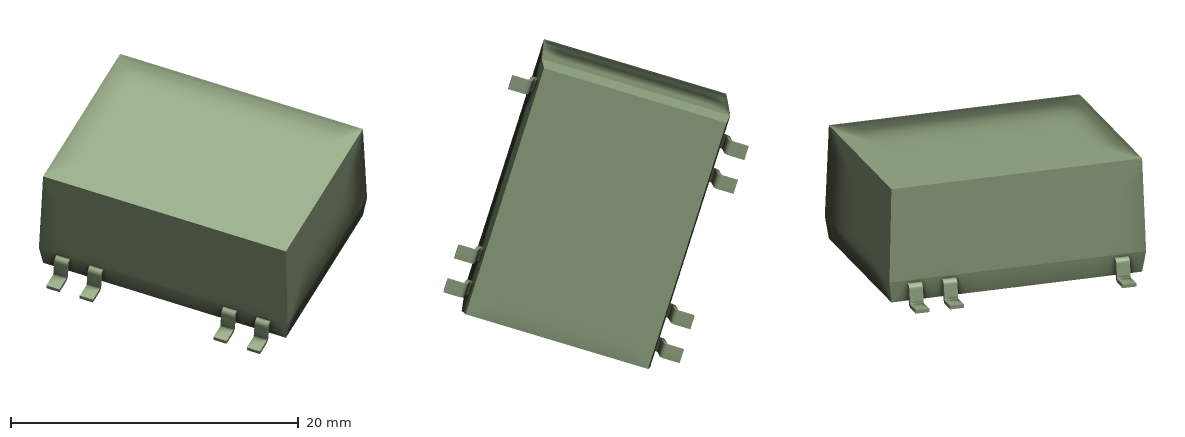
import cadquery as cq
import math

body_length = 18.9
body_width = 13.72
body_bottom = 0.27
parting_height = 1.85
body_top = 8.7
taper_inset = 0.22

tip_span = 17.2
lead_width = 1.0
lead_thickness = 0.27
lead_top = 1.64
foot_length = 1.18
leg_lean = math.radians(9)
inner_radius = 0.1
outer_radius = inner_radius + lead_thickness
embed_depth = 0.5

pitch = 2.54
front_leads = [-3 * pitch, -2 * pitch, 2 * pitch, 3 * pitch]
back_leads = [-3 * pitch, 2 * pitch, 3 * pitch]


def tapered_half(end_height):
    """Half of the body, narrowing from the parting outline to end_height."""
    end_length = body_length - 2 * taper_inset
    end_width = body_width - 2 * taper_inset
    return (
        cq.Workplane("XY", origin=(0, 0, parting_height))
        .rect(body_length, body_width)
        .workplane(offset=end_height - parting_height)
        .rect(end_length, end_width)
        .loft(ruled=True)
    )


def front_lead(x):
    """Gull-wing lead on the -Y side, centred at x and running into the body."""
    tip = -tip_span / 2
    buried_end = -body_width / 2 + embed_depth
    leg_section_y = lead_thickness / math.cos(leg_lean)

    def outer_face(z):
        """Y of the leg face turned away from the body, at height z."""
        return tip + foot_length + (z - lead_thickness) * math.tan(leg_lean)

    def inner_face(z):
        """Y of the leg face turned toward the body, at height z."""
        return outer_face(z) + leg_section_y

    shoulder_bottom = lead_top - lead_thickness
    foot_inside = (outer_face(lead_thickness), lead_thickness)
    foot_outside = (inner_face(0), 0)
    shoulder_outside = (outer_face(lead_top), lead_top)
    shoulder_inside = (inner_face(shoulder_bottom), shoulder_bottom)
    outline = [
        (tip, 0),
        foot_outside,
        shoulder_inside,
        (buried_end, shoulder_bottom),
        (buried_end, lead_top),
        shoulder_outside,
        foot_inside,
        (tip, lead_thickness),
    ]
    lead = (
        cq.Workplane("YZ", origin=(x - lead_width / 2, 0, 0))
        .polyline(outline)
        .close()
        .extrude(lead_width)
    )
    bends = [
        (foot_inside, inner_radius),
        (foot_outside, outer_radius),
        (shoulder_inside, inner_radius),
        (shoulder_outside, outer_radius),
    ]
    for (y, z), radius in bends:
        lead = lead.edges(cq.NearestToPointSelector((x, y, z))).fillet(radius)
    return lead


result = tapered_half(body_bottom).union(tapered_half(body_top))
for lead_x in front_leads:
    result = result.union(front_lead(lead_x))
for lead_x in back_leads:
    result = result.union(front_lead(lead_x).mirror("XZ"))